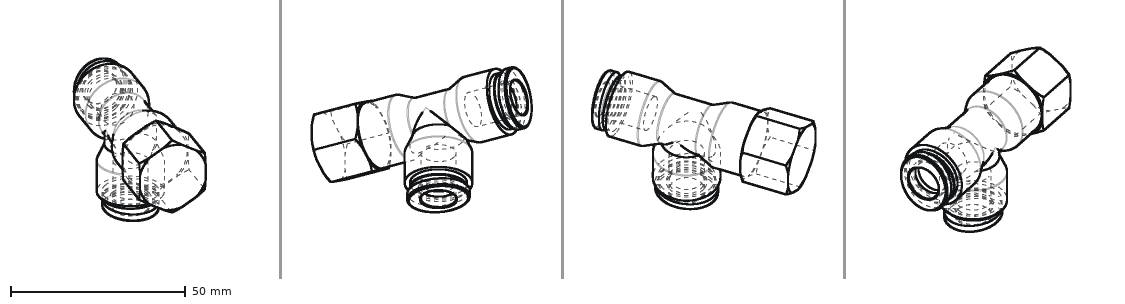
import cadquery as cq
import math

OVERALL_LENGTH = 62.4
PORT_LENGTH = 26.4

FLANGE_LONG = 18.55
FLANGE_SHORT = 16.0
FLANGE_DEPTH = 2.4
FLANGE_CHAMFER = 0.45
NECK_DIAMETER = 11.7
NECK_END_DEPTH = 3.6
NECK_ROOT_RADIUS = 0.2
BORE_DIAMETER = 10.2
BORE_CHAMFER = 0.25

COLLAR_DIAMETER = 16.5
COLLAR_END_DEPTH = 5.3
COLLAR_CHAMFER = 0.2

SOCKET_DIAMETER = 19.5
WAIST_DIAMETER = 15.0
TAPER_START_DEPTH = 15.3
TAPER_END_DEPTH = 20.4
TAPER_BLEND_RADIUS = 0.95
BORE_FLOOR_DEPTH = 15.1

NUT_ACROSS_FLATS = 20.0
NUT_LENGTH = 15.0
NUT_FACE_DIAMETER = 20.6
NUT_CHAMFER_ANGLE = 30.0

NUT_RIGHT = OVERALL_LENGTH - PORT_LENGTH
NUT_LEFT = NUT_RIGHT - NUT_LENGTH

PICK_MARGIN = 0.05


def port_plane(depth):
    """YZ plane at a depth inside the left port, with local x along Y and normal along +X."""
    return cq.Workplane("YZ", origin=(depth - PORT_LENGTH, 0, 0))


def turn_to_branch(shape):
    """Swing a shape made for the left port down to the branch port."""
    return shape.rotate((0, 0, 0), (0, 1, 0), -90)


def make_sleeve():
    flange = (
        port_plane(0)
        .ellipse(FLANGE_SHORT / 2, FLANGE_LONG / 2)
        .extrude(FLANGE_DEPTH)
        .faces("<X")
        .chamfer(FLANGE_CHAMFER)
    )
    neck = port_plane(FLANGE_DEPTH).circle(NECK_DIAMETER / 2).extrude(NECK_END_DEPTH - FLANGE_DEPTH)
    bore = port_plane(0).circle(BORE_DIAMETER / 2).extrude(NECK_END_DEPTH)
    sleeve = flange.union(neck).edges("%CIRCLE").edges("<X").fillet(NECK_ROOT_RADIUS).cut(bore)
    return sleeve.faces("<X").edges("%CIRCLE").chamfer(BORE_CHAMFER)


def make_collar():
    return (
        port_plane(NECK_END_DEPTH)
        .circle(COLLAR_DIAMETER / 2)
        .extrude(COLLAR_END_DEPTH - NECK_END_DEPTH)
        .faces("<X")
        .chamfer(COLLAR_CHAMFER)
        .cut(port_plane(NECK_END_DEPTH).circle(BORE_DIAMETER / 2).extrude(COLLAR_END_DEPTH))
    )


def circles_near(arm, depth):
    """Circular edges of an arm that lie at the given depth."""
    reach = SOCKET_DIAMETER
    x = depth - PORT_LENGTH
    slab = cq.selectors.BoxSelector(
        (x - PICK_MARGIN, -reach, -reach), (x + PICK_MARGIN, reach, reach), boundingbox=True
    )
    return arm.edges("%CIRCLE").edges(slab)


def make_arm(end_distance, blend_waist):
    """Solid arm from the crossing toward -X, widening from the waist to the socket."""
    socket_radius = SOCKET_DIAMETER / 2
    waist_radius = WAIST_DIAMETER / 2
    arm = (
        cq.Workplane("XY")
        .moveTo(0, 0)
        .lineTo(-end_distance, 0)
        .lineTo(-end_distance, socket_radius)
        .lineTo(TAPER_START_DEPTH - PORT_LENGTH, socket_radius)
        .lineTo(TAPER_END_DEPTH - PORT_LENGTH, waist_radius)
        .lineTo(0, waist_radius)
        .close()
        .revolve(360, (0, 0, 0), (1, 0, 0))
    )
    arm = circles_near(arm, TAPER_START_DEPTH).fillet(TAPER_BLEND_RADIUS)
    if blend_waist:
        arm = circles_near(arm, TAPER_END_DEPTH).fillet(TAPER_BLEND_RADIUS)
    return arm


def make_housing():
    port_distance = PORT_LENGTH - COLLAR_END_DEPTH
    port_arm = make_arm(port_distance, blend_waist=True)
    nut_arm = make_arm(NUT_LEFT, blend_waist=True).rotate((0, 0, 0), (0, 0, 1), 180)
    branch_arm = turn_to_branch(make_arm(port_distance, blend_waist=False))
    bore = (
        port_plane(COLLAR_END_DEPTH)
        .circle(BORE_DIAMETER / 2)
        .extrude(BORE_FLOOR_DEPTH - COLLAR_END_DEPTH)
    )
    tee = port_arm.union(nut_arm).union(branch_arm)
    return tee.cut(bore).cut(turn_to_branch(bore))


def make_nut():
    corner_radius = NUT_ACROSS_FLATS / 2 / math.cos(math.pi / 6)
    face_radius = NUT_FACE_DIAMETER / 2
    chamfer_run = (corner_radius - face_radius) * math.tan(math.radians(NUT_CHAMFER_ANGLE))
    hexagon = (
        cq.Workplane("YZ", origin=(NUT_LEFT, 0, 0))
        .polygon(6, 2 * corner_radius)
        .extrude(NUT_LENGTH)
        .rotate((0, 0, 0), (1, 0, 0), 90)
    )
    chamfer_envelope = (
        cq.Workplane("XY")
        .moveTo(NUT_LEFT, 0)
        .lineTo(NUT_LEFT, face_radius)
        .lineTo(NUT_LEFT + chamfer_run, corner_radius)
        .lineTo(NUT_RIGHT - chamfer_run, corner_radius)
        .lineTo(NUT_RIGHT, face_radius)
        .lineTo(NUT_RIGHT, 0)
        .close()
        .revolve(360, (0, 0, 0), (1, 0, 0))
    )
    return hexagon.intersect(chamfer_envelope)


housing = make_housing()
nut = make_nut()

run_sleeve = make_sleeve()
run_collar = make_collar()
port_fittings = []
for fitting in (run_sleeve, run_collar):
    for placed in (fitting, turn_to_branch(fitting)):
        port_fittings.append(placed.val())

result = cq.Compound.makeCompound([housing.val(), nut.val(), *port_fittings])